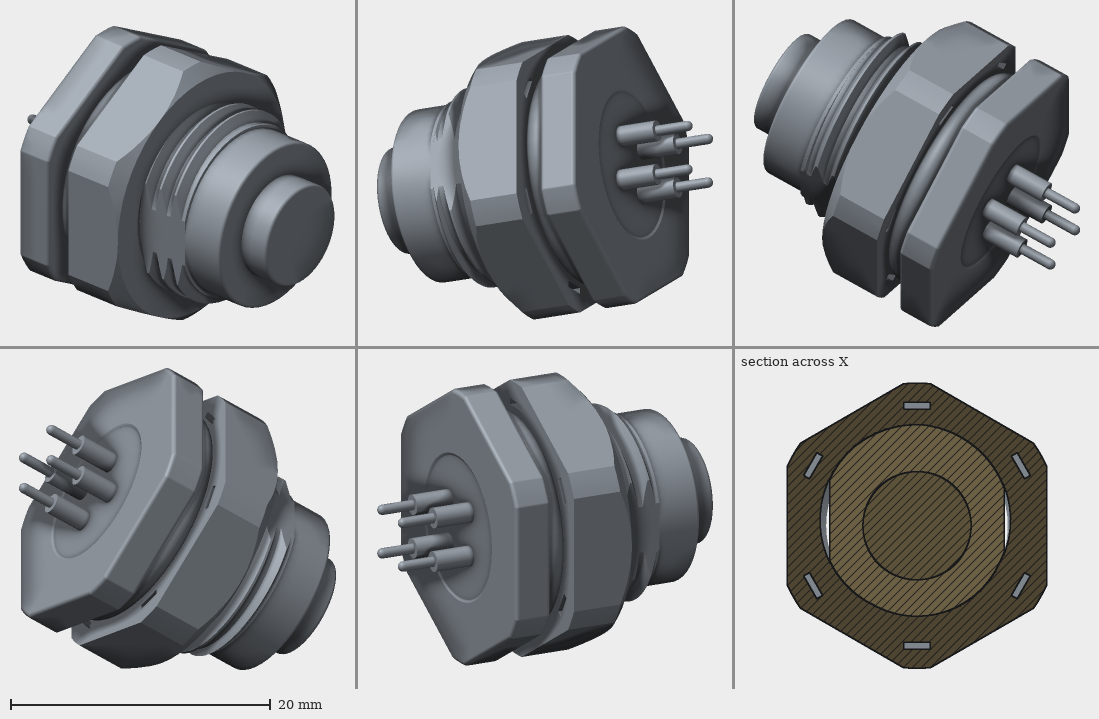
import cadquery as cq
import math


ACROSS_FLATS = 20.0
ACROSS_CORNERS = 22.0

FLANGE_THICKNESS = 3.0
FLANGE_ROUND = 0.3
BARREL_END = 14.0
SLEEVE_DIAMETER = 13.5
SLEEVE_LENGTH = 3.5
SLEEVE_END = BARREL_END + SLEEVE_LENGTH
FRONT_ROUND = 0.25

RING_SECTION = 2.0
ROOT_DIAMETER = 14.0
RING_CENTRE_RADIUS = (ROOT_DIAMETER + RING_SECTION) / 2

NUT_REAR = FLANGE_THICKNESS + RING_SECTION
NUT_THICKNESS = 5.0
NUT_CHAMFER = (ACROSS_CORNERS - ACROSS_FLATS) / 2
SLOT_COUNT = 6
SLOT_LENGTH = 2.0
SLOT_WIDTH = 0.5
SLOT_DEPTH = 0.75
SLOT_RADIUS = 9.23

PITCH = 1.5
CREST_DIAMETER = 15.6
CREST_WIDTH = 0.18
CREST_AT_TOP = 11.28
FLANK_SLOPE = math.tan(math.radians(30))
COLLAR_DIAMETER = 14.05
COLLAR_LENGTH = 0.25
EMBED = 0.13

POTTING_DIAMETER = 11.28
POTTING_RECESS = 0.1
MOUTH_WIDTH = 0.2
INSERT_DIAMETER = 8.3
INSERT_PROTRUSION = 2.5
INSERT_END = SLEEVE_END + INSERT_PROTRUSION

PIN_PROTRUSION = 6.0
PIN_SHOULDER = 3.02
PIN_DIAMETER = 0.8
PIN_SHOULDER_DIAMETER = 1.6
PIN_OFFSET = 1.77


def cylinder(diameter, start, end):
    """Cylinder on the X axis between two X positions."""
    return cq.Workplane("YZ", origin=(start, 0, 0)).circle(diameter / 2).extrude(end - start)


def hexagon(start, thickness):
    """Hexagonal prism with flats on +-Y and its corners turned down to a cylinder."""
    corner_diameter = ACROSS_FLATS / math.cos(math.pi / 6)
    prism = (
        cq.Workplane("YZ", origin=(start, 0, 0))
        .transformed(rotate=(0, 0, 30))
        .polygon(6, corner_diameter)
        .extrude(thickness)
    )
    return prism.intersect(cylinder(ACROSS_CORNERS, start, start + thickness))


def thread_ridge():
    """Helical ridge, trimmed square at the nut's rear face and by a cone at the front."""
    root_radius = ROOT_DIAMETER / 2
    crest_radius = CREST_DIAMETER / 2
    base_radius = root_radius - EMBED
    half_crest = CREST_WIDTH / 2
    half_base = half_crest + (crest_radius - base_radius) * FLANK_SLOPE
    thread_end = BARREL_END - COLLAR_LENGTH

    turns_before = math.ceil((CREST_AT_TOP - NUT_REAR) / PITCH) + 1
    turns_after = math.ceil((thread_end - CREST_AT_TOP) / PITCH) + 1
    path = cq.Wire.makeHelix(PITCH, (turns_before + turns_after) * PITCH, base_radius)
    ridge = (
        cq.Workplane("XZ")
        .polyline([
            (base_radius, -half_base),
            (crest_radius, -half_crest),
            (crest_radius, half_crest),
            (base_radius, half_base),
        ])
        .close()
        .sweep(cq.Workplane(obj=path), isFrenet=True)
        .rotate((0, 0, 0), (0, 1, 0), 90)
        .rotate((0, 0, 0), (1, 0, 0), 180)
        .translate((CREST_AT_TOP - turns_before * PITCH, 0, 0))
    )
    chamfer_length = (crest_radius - root_radius + EMBED) * FLANK_SLOPE
    envelope = (
        cq.Workplane("XY")
        .polyline([
            (NUT_REAR, 0),
            (NUT_REAR, crest_radius + EMBED),
            (thread_end - chamfer_length, crest_radius + EMBED),
            (thread_end, root_radius),
            (thread_end, 0),
        ])
        .close()
        .revolve(360, (0, 0, 0), (1, 0, 0))
    )
    return ridge.intersect(envelope)


def make_threaded_barrel():
    """Full round barrel with its thread, before the side flats are cut."""
    core = cylinder(ROOT_DIAMETER, FLANGE_THICKNESS, BARREL_END)
    collar = cylinder(COLLAR_DIAMETER, BARREL_END - COLLAR_LENGTH, BARREL_END)
    return core.union(collar).union(thread_ridge())


def make_housing(barrel):
    flange = hexagon(0, FLANGE_THICKNESS).edges().fillet(FLANGE_ROUND)

    barrel_length = BARREL_END - FLANGE_THICKNESS
    flats = (
        cq.Workplane("XY", origin=(FLANGE_THICKNESS + barrel_length / 2, 0, 0))
        .box(barrel_length, SLEEVE_DIAMETER, 2 * CREST_DIAMETER)
    )
    sleeve = cylinder(SLEEVE_DIAMETER, BARREL_END, SLEEVE_END).faces(">X").edges().fillet(FRONT_ROUND)
    body = flange.union(barrel.intersect(flats)).union(sleeve)

    body = body.cut(cylinder(POTTING_DIAMETER, 0, FLANGE_THICKNESS))
    body = body.cut(cylinder(INSERT_DIAMETER, FLANGE_THICKNESS, SLEEVE_END))
    mouth = (
        cq.Workplane("XY")
        .polyline([
            (0, 0),
            (0, POTTING_DIAMETER / 2 + MOUTH_WIDTH),
            (POTTING_RECESS, POTTING_DIAMETER / 2),
            (POTTING_RECESS, 0),
        ])
        .close()
        .revolve(360, (0, 0, 0), (1, 0, 0))
    )
    return body.cut(mouth)


def make_seal_ring():
    middle = FLANGE_THICKNESS + RING_SECTION / 2
    return (
        cq.Workplane("XY", origin=(middle, RING_CENTRE_RADIUS, 0))
        .circle(RING_SECTION / 2)
        .revolve(360, (0, -RING_CENTRE_RADIUS, 0), (1, -RING_CENTRE_RADIUS, 0))
    )


def make_nut(barrel):
    front = NUT_REAR + NUT_THICKNESS
    chamfered = cylinder(ACROSS_CORNERS, NUT_REAR, front).faces(">X").edges().chamfer(NUT_CHAMFER)
    nut = hexagon(NUT_REAR, NUT_THICKNESS).intersect(chamfered)

    slot = cq.Workplane("XY").box(SLOT_DEPTH, SLOT_LENGTH, SLOT_WIDTH).translate(
        (NUT_REAR + SLOT_DEPTH / 2, 0, SLOT_RADIUS)
    )
    for i in range(SLOT_COUNT):
        nut = nut.cut(slot.rotate((0, 0, 0), (1, 0, 0), i * 360 / SLOT_COUNT))
    return nut.cut(barrel)


def make_pin(y, z):
    """Round-ended pin with a thick shoulder that passes through the potting disc."""
    radius = PIN_DIAMETER / 2
    shoulder = cylinder(PIN_SHOULDER_DIAMETER, -PIN_SHOULDER, FLANGE_THICKNESS)
    tail = cylinder(PIN_DIAMETER, radius - PIN_PROTRUSION, -PIN_SHOULDER)
    tip = cq.Workplane("XY", origin=(radius - PIN_PROTRUSION, 0, 0)).sphere(radius, direct=(1, 0, 0))
    return shoulder.union(tail).union(tip).translate((0, y, z))


def make_potting(pins):
    disc = cylinder(POTTING_DIAMETER, POTTING_RECESS, FLANGE_THICKNESS)
    for pin in pins:
        disc = disc.cut(pin)
    return disc


def make_insert():
    return cylinder(INSERT_DIAMETER, FLANGE_THICKNESS, INSERT_END).faces(">X").edges().fillet(FRONT_ROUND)


threaded_barrel = make_threaded_barrel()
housing = make_housing(threaded_barrel)
seal_ring = make_seal_ring()
nut = make_nut(threaded_barrel)
pins = [make_pin(y, z) for y in (-PIN_OFFSET, PIN_OFFSET) for z in (-PIN_OFFSET, PIN_OFFSET)]
potting = make_potting(pins)
insert = make_insert()

result = cq.Compound.makeCompound([
    housing.val(),
    seal_ring.val(),
    nut.val(),
    potting.val(),
    insert.val(),
    *[pin.val() for pin in pins],
])